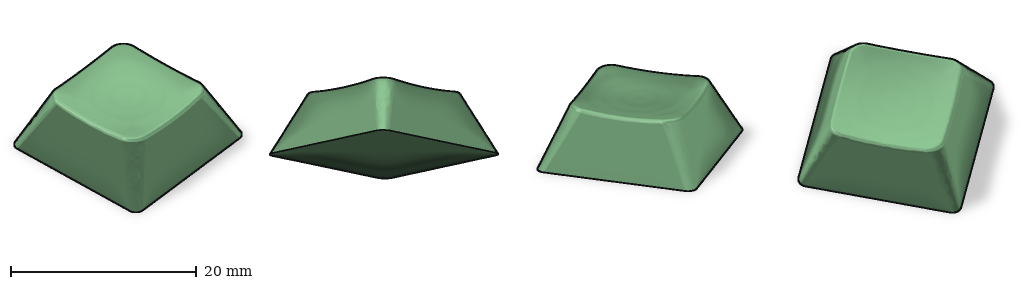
import cadquery as cq

base_side = 18.0
base_corner_radius = 1.0
blank_top_side = 12.38
blank_top_corner_radius = 1.89
blank_height = 7.0

dish_radius = 39.96
dish_floor_height = 6.0

rim_fillet_radius = 0.5


def rounded_square(side, corner_radius):
    return cq.Sketch().rect(side, side).vertices().fillet(corner_radius)


def tapered_blank():
    base = rounded_square(base_side, base_corner_radius)
    top = rounded_square(blank_top_side, blank_top_corner_radius).moved(z=blank_height)
    return cq.Workplane("XY").placeSketch(base, top).loft()


def finger_dish():
    sphere_center_height = dish_floor_height + dish_radius
    return cq.Workplane("XY", origin=(0, 0, sphere_center_height)).sphere(dish_radius)


keycap = tapered_blank().cut(finger_dish())
rim_edges = keycap.faces("%SPHERE").edges()
result = keycap.newObject(rim_edges.vals()).fillet(rim_fillet_radius)